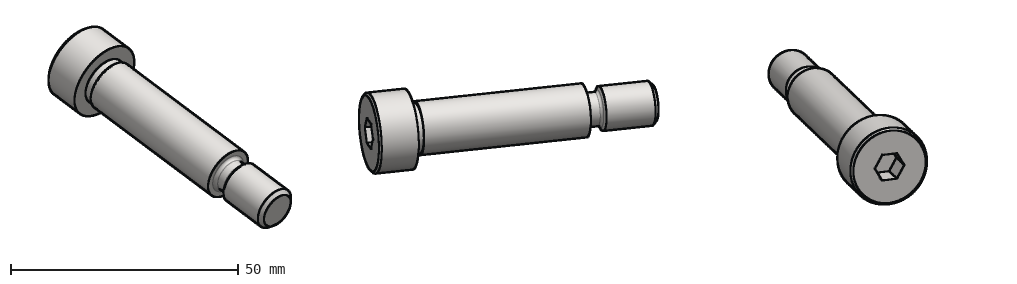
import cadquery as cq
import math

total_length = 65.0

head_diameter = 18.0
head_height = 9.0
head_chamfer = 0.5

undercut_diameter = 11.4
undercut_length = 2.0

shoulder_diameter = 12.0
shoulder_length = 40.05

neck_diameter = 7.7
neck_straight_length = 1.95
neck_fillet = 0.8
runout_angle = math.radians(60)

thread_diameter = 10.0
thread_chamfer = 1.0

hex_across_flats = 6.0
hex_depth = 5.0

head_radius = head_diameter / 2
undercut_radius = undercut_diameter / 2
shoulder_radius = shoulder_diameter / 2
neck_radius = neck_diameter / 2
thread_radius = thread_diameter / 2

undercut_end = head_height + undercut_length
shoulder_end = head_height + shoulder_length
neck_start = shoulder_end + neck_fillet
neck_end = neck_start + neck_straight_length
runout_arc_end = neck_end + neck_fillet * math.sin(runout_angle)
runout_arc_radius = neck_radius + neck_fillet * (1 - math.cos(runout_angle))
thread_start = runout_arc_end + (thread_radius - runout_arc_radius) / math.tan(runout_angle)


def fillet_point(center_x, angle):
    """Point on a neck fillet, at an angle from the line facing the axis."""
    x = center_x + neck_fillet * math.sin(angle)
    radius = neck_radius + neck_fillet * (1 - math.cos(angle))
    return (x, radius)


def make_body():
    """Revolve the half profile of head, shoulder, neck and threaded end."""
    profile = (
        cq.Workplane("XY")
        .moveTo(0, 0)
        .lineTo(0, head_radius - head_chamfer)
        .lineTo(head_chamfer, head_radius)
        .lineTo(head_height, head_radius)
        .lineTo(head_height, undercut_radius)
        .lineTo(undercut_end, undercut_radius)
        .lineTo(undercut_end, shoulder_radius)
        .lineTo(shoulder_end, shoulder_radius)
        .lineTo(shoulder_end, neck_radius + neck_fillet)
        .threePointArc(fillet_point(neck_start, -math.radians(45)), (neck_start, neck_radius))
        .lineTo(neck_end, neck_radius)
        .threePointArc(fillet_point(neck_end, runout_angle / 2), (runout_arc_end, runout_arc_radius))
        .lineTo(thread_start, thread_radius)
        .lineTo(total_length - thread_chamfer, thread_radius)
        .lineTo(total_length, thread_radius - thread_chamfer)
        .lineTo(total_length, 0)
        .close()
    )
    return profile.revolve(360, (0, 0, 0), (1, 0, 0))


def make_hex_socket():
    """Hexagonal drive socket with two corners on the Y axis."""
    across_corners = hex_across_flats / math.cos(math.radians(30))
    return cq.Workplane("YZ").polygon(6, across_corners).extrude(hex_depth)


result = make_body().cut(make_hex_socket())